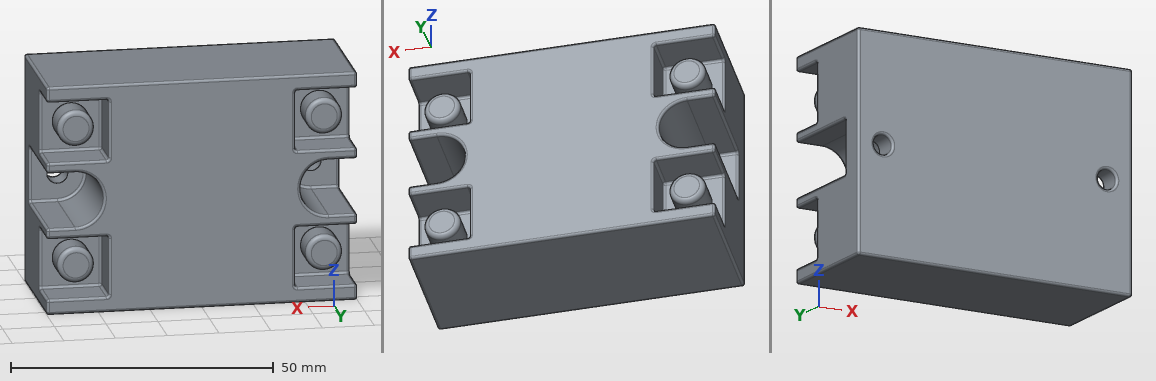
import cadquery as cq

LENGTH = 60.0
DEPTH = 24.0
HEIGHT = 45.0
EDGE_RADIUS = 0.5

POCKET_LENGTH = 12.0
POCKET_HEIGHT = 12.0
POCKET_DEPTH = 8.0
TERMINAL_Z = 13.5

SLOT_WIDTH = 11.0
SLOT_DEPTH = 19.0
HOLE_SPACING = 49.0
HOLE_DIAMETER = 4.0

HEAD_DIAMETER = 7.0
HEAD_HEIGHT = 6.0
HEAD_RADIUS = 1.0

OVERCUT = 2.0

END_X = LENGTH / 2
FRONT_Y = DEPTH / 2
TERMINAL_X = END_X - POCKET_LENGTH / 2
HOLE_X = HOLE_SPACING / 2
SIDES = (-1, 1)


def pocket_cutter():
    """Cutter for the pocket at the +X end, centred on Z = 0."""
    length = POCKET_LENGTH + OVERCUT
    depth = POCKET_DEPTH + OVERCUT
    cutter = (
        cq.Workplane("XY")
        .box(length, depth, POCKET_HEIGHT, centered=(False, False, True))
        .translate((END_X - POCKET_LENGTH, FRONT_Y - POCKET_DEPTH, 0))
    )
    return cutter.faces("<X or <Y").edges("not (>X or >Y)").fillet(EDGE_RADIUS)


def slot_cutter():
    """Cutter for the round-ended mounting slot at the +X end."""
    radius = SLOT_WIDTH / 2
    outer_x = END_X + OVERCUT
    cutter = (
        cq.Workplane("XZ", origin=(0, FRONT_Y - SLOT_DEPTH, 0))
        .moveTo(outer_x, radius)
        .lineTo(HOLE_X, radius)
        .threePointArc((HOLE_X - radius, 0), (HOLE_X, -radius))
        .lineTo(outer_x, -radius)
        .close()
        .extrude(-(SLOT_DEPTH + OVERCUT))
    )
    return cutter.faces("<Y").edges("not >X").fillet(EDGE_RADIUS)


def mounting_holes():
    """Through holes on the middle line, one in the floor of each slot."""
    return (
        cq.Workplane("XZ", origin=(0, FRONT_Y, 0))
        .pushPoints([(side * HOLE_X, 0) for side in SIDES])
        .circle(HOLE_DIAMETER / 2)
        .extrude(DEPTH)
    )


def at_end(shape, side):
    """Move a shape made for the +X end to the end given by side."""
    return shape if side > 0 else shape.mirror("YZ")


def make_housing():
    block = cq.Workplane("XY").box(LENGTH, DEPTH, HEIGHT)
    for side in SIDES:
        block = block.cut(at_end(slot_cutter(), side))
        for level in SIDES:
            pocket = at_end(pocket_cutter(), side)
            block = block.cut(pocket.translate((0, 0, level * TERMINAL_Z)))
    block = block.cut(mounting_holes())
    return block.faces("<X or >X or <Y or >Y or <Z or >Z").edges().fillet(EDGE_RADIUS)


def make_screw(x, z):
    """Screw head standing on the Y wall of its pocket."""
    return (
        cq.Workplane("XZ", origin=(x, FRONT_Y - POCKET_DEPTH, z))
        .circle(HEAD_DIAMETER / 2)
        .extrude(-HEAD_HEIGHT)
        .edges(">Y")
        .fillet(HEAD_RADIUS)
    )


housing = make_housing()
screws = [
    make_screw(side * TERMINAL_X, level * TERMINAL_Z)
    for side in SIDES
    for level in SIDES
]

result = cq.Compound.makeCompound([housing.val(), *[screw.val() for screw in screws]])